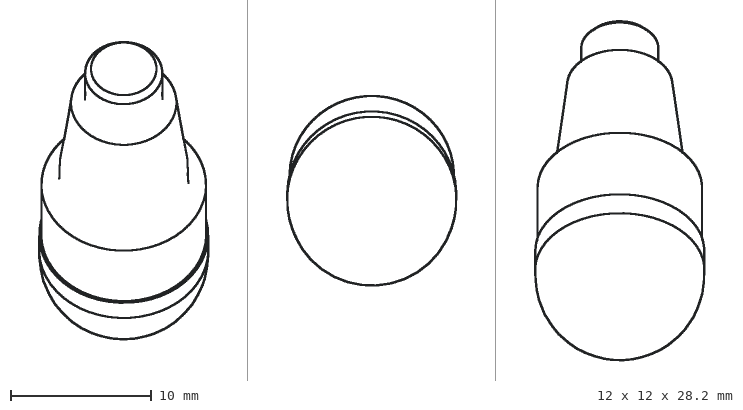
import cadquery as cq

total_height = 28.2
tip_diameter = 12.0
tip_radius = tip_diameter / 2

tip_top = 6.6
collar_top = 8.4
barrel_top = 14.4
lower_taper_top = 16.9
upper_taper_top = 24.2

collar_diameter = tip_diameter
barrel_diameter = 11.7
lower_taper_base_diameter = 9.2
upper_taper_base_diameter = 9.08
upper_taper_top_diameter = 7.5
stud_diameter = 5.5

stud_chamfer_radial = 0.5
stud_chamfer_height = 0.42
stud_fillet = 0.5
taper_fillet = 0.28

selection_margin = 0.03


def cylinder(diameter, bottom, top):
    return cq.Workplane("XY").workplane(offset=bottom).circle(diameter / 2).extrude(top - bottom)


def make_tip():
    """Hemisphere continued upward by a short cylinder, with a flat top face."""
    return (
        cq.Workplane("XZ")
        .moveTo(0, 0)
        .radiusArc((tip_radius, tip_radius), -tip_radius)
        .lineTo(tip_radius, tip_top)
        .lineTo(0, tip_top)
        .close()
        .revolve(360, (0, 0), (0, 1))
    )


def make_tapered_neck():
    """Two stacked cones, the lower one nearly cylindrical."""
    return (
        cq.Workplane("XZ")
        .moveTo(0, barrel_top)
        .lineTo(lower_taper_base_diameter / 2, barrel_top)
        .lineTo(upper_taper_base_diameter / 2, lower_taper_top)
        .lineTo(upper_taper_top_diameter / 2, upper_taper_top)
        .lineTo(0, upper_taper_top)
        .close()
        .revolve(360, (0, 0), (0, 1))
    )


def root_edge(diameter, level):
    """Selector for the circular edge of one diameter at one level."""
    half_box = diameter / 2 + selection_margin
    return cq.selectors.BoxSelector(
        (-half_box, -half_box, level - selection_margin),
        (half_box, half_box, level + selection_margin),
        boundingbox=True,
    )


def make_stem():
    """Collar, barrel, tapered neck and end stud in one solid."""
    collar = cylinder(collar_diameter, tip_top, collar_top)
    barrel = cylinder(barrel_diameter, collar_top, barrel_top)
    stud = cylinder(stud_diameter, upper_taper_top, total_height)
    stem = collar.union(barrel).union(make_tapered_neck()).union(stud)

    stem = stem.edges(root_edge(lower_taper_base_diameter, barrel_top)).fillet(taper_fillet)
    stem = stem.edges(root_edge(stud_diameter, upper_taper_top)).fillet(stud_fillet)

    return stem.faces(">Z").chamfer(stud_chamfer_radial, stud_chamfer_height)


tip = make_tip()
stem = make_stem()

result = cq.Compound.makeCompound([tip.val(), stem.val()])